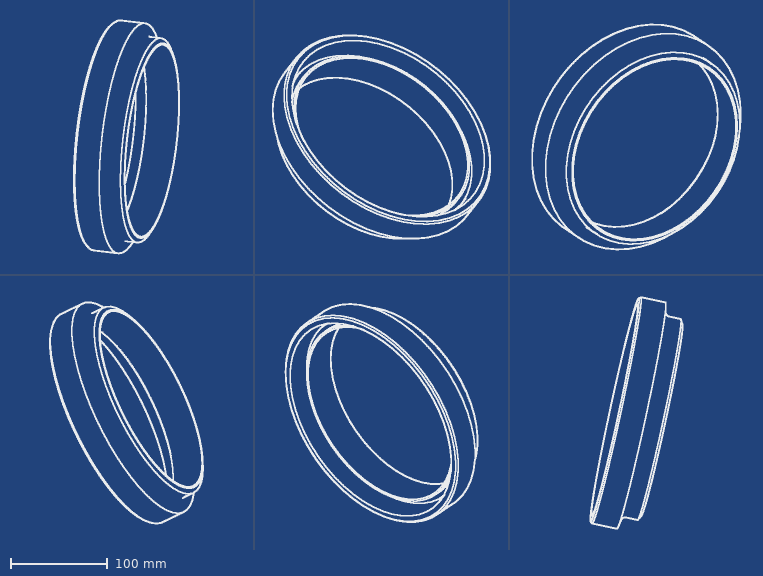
import cadquery as cq
import math

length = 50.0
flange_radius = 240 / 2
neck_radius = 213.0 / 2
bore_radius = 200.0 / 2
lip_radius = 204 / 2
groove_radius = 215.8 / 2
mouth_radius = 111.8

flange_end = 28.0
neck_start = 34.8
groove_depth = 21.0
mouth_depth = 15.0
lip_start = 14.6

front_chamfer = 2.0
root_radius = 4.8
back_taper = math.radians(10)
end_chamfer_length = 3.0
end_chamfer_height = end_chamfer_length * math.tan(math.radians(60))

root_center_radius = neck_radius + root_radius


def root_point(angle):
    """Point on the root fillet, with the angle measured from the -X direction."""
    return (
        neck_start - root_radius * math.cos(angle),
        root_center_radius - root_radius * math.sin(angle),
    )


root_mid_angle = (back_taper + math.pi / 2) / 2

profile = (
    cq.Workplane("XY")
    .moveTo(0, mouth_radius)
    .lineTo(0, flange_radius - front_chamfer)
    .lineTo(front_chamfer, flange_radius)
    .lineTo(flange_end, flange_radius)
    .lineTo(*root_point(back_taper))
    .threePointArc(root_point(root_mid_angle), root_point(math.pi / 2))
    .lineTo(length - end_chamfer_length, neck_radius)
    .lineTo(length, neck_radius - end_chamfer_height)
    .lineTo(length, bore_radius)
    .lineTo(lip_start, bore_radius)
    .lineTo(lip_start, lip_radius)
    .lineTo(groove_depth, lip_radius)
    .lineTo(groove_depth, groove_radius)
    .lineTo(mouth_depth, groove_radius)
    .close()
)

result = profile.revolve(360, (0, 0, 0), (1, 0, 0))